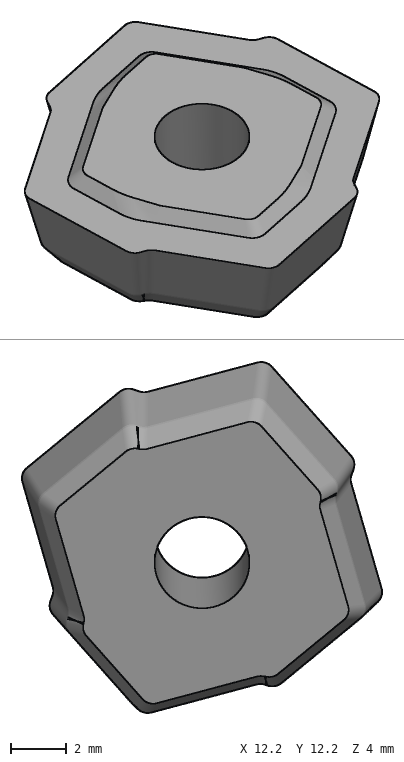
import cadquery as cq
import math

FLANK_BLEND_LOW = 0.86
FLANK_BLEND_HIGH = 0.94
RIM_HEIGHT = 3.59
TOTAL_HEIGHT = 4.0

OVERALL_WIDTH = 12.24

SHORT_EDGE_TILT = -10
SHORT_EDGE_DISTANCE = 5.68
STEP_TILT = -45
STEP_DISTANCE = 4.31
LONG_EDGE_TILT = 15
VALLEY_RADIUS = 0.55
PEAK_RADIUS = 0.5
CORNER_RADIUS = 0.5

UPPER_RELIEF_ANGLE = 11
LOWER_RELIEF_ANGLE = 31

BOSS_INSET = 1.38
BOSS_TOP_INSET = 1.87
BOSS_CORNER_RADIUS = 0.59
BOSS_TOP_CORNER_RADIUS = 0.47
BOSS_BEND_RADIUS = 1.96
BOSS_TOP_BEND_RADIUS = 3.3
BOSS_TOP_BEND_TILT = 0

HOLE_DIAMETER = 3.4
QUARTERS = 4


def meeting_point(edge_a, edge_b):
    """Point where two edges, each a (tilt, distance) pair, cross."""
    tilt_a, distance_a = math.radians(edge_a[0]), edge_a[1]
    tilt_b, distance_b = math.radians(edge_b[0]), edge_b[1]
    spread = math.sin(tilt_b - tilt_a)
    x = (distance_b * math.cos(tilt_a) - distance_a * math.cos(tilt_b)) / spread
    y = (distance_a * math.sin(tilt_b) - distance_b * math.sin(tilt_a)) / spread
    return x, y


def long_edge_distance():
    """Distance of the long edge from the axis that puts the rounded peak at half the width."""
    peak_centre_line = (0, OVERALL_WIDTH / 2 - PEAK_RADIUS)
    x, y = meeting_point((STEP_TILT, STEP_DISTANCE - PEAK_RADIUS), peak_centre_line)
    tilt = math.radians(LONG_EDGE_TILT)
    return x * math.sin(tilt) + y * math.cos(tilt) + PEAK_RADIUS


LONG_EDGE_DISTANCE = long_edge_distance()


def quarter_turn(edge):
    """The same edge on the next quarter, clockwise from above."""
    return edge[0] + 360 / QUARTERS, edge[1]


def rounded_outline(quarter_corners, height):
    """Closed wire through the corners of one quarter, repeated clockwise around Z.

    Each corner is (x, y, radius); radius None keeps the corner as a plain point.
    """
    corners = list(quarter_corners)
    for _ in range(QUARTERS - 1):
        corners += [(y, -x, radius) for x, y, radius in corners[-len(quarter_corners):]]
    points = [cq.Vector(x, y, height) for x, y, _ in corners]

    edges = []
    stretch_ends = []
    for i, corner in enumerate(points):
        radius = corners[i][2]
        if radius is None:
            stretch_ends += [corner, corner]
            continue
        back = (points[i - 1] - corner).normalized()
        ahead = (points[(i + 1) % len(points)] - corner).normalized()
        half_angle = back.getAngle(ahead) / 2
        reach = radius / math.tan(half_angle)
        gap = radius / math.sin(half_angle) - radius
        start = corner + back * reach
        middle = corner + (back + ahead).normalized() * gap
        end = corner + ahead * reach
        edges.append(cq.Edge.makeThreePointArc(start, middle, end))
        stretch_ends += [start, end]
    starts = stretch_ends[1::2]
    ends = stretch_ends[2::2] + stretch_ends[:1]
    edges += [cq.Edge.makeLine(start, end) for start, end in zip(starts, ends)]
    return cq.Wire.combine(edges)[0]


def cutting_outline(inset, height):
    """Cutting outline with every edge moved inwards by the inset."""
    short_edge = (SHORT_EDGE_TILT, SHORT_EDGE_DISTANCE - inset)
    step = (STEP_TILT, STEP_DISTANCE - inset)
    long_edge = (LONG_EDGE_TILT, LONG_EDGE_DISTANCE - inset)
    return rounded_outline([
        (*meeting_point(short_edge, step), VALLEY_RADIUS),
        (*meeting_point(step, long_edge), PEAK_RADIUS),
        (*meeting_point(long_edge, quarter_turn(short_edge)), CORNER_RADIUS),
    ], height)


def boss_outline(inset, bend_tilt, bend_radius, corner_radius, height):
    """Boss outline; the short edge turns to the bend tilt where it crosses the Y axis."""
    short_edge = (SHORT_EDGE_TILT, SHORT_EDGE_DISTANCE - inset)
    long_edge = (LONG_EDGE_TILT, LONG_EDGE_DISTANCE - inset)
    crossing = short_edge[1] / math.cos(math.radians(SHORT_EDGE_TILT))
    bend_edge = (bend_tilt, crossing * math.cos(math.radians(bend_tilt)))
    return rounded_outline([
        (0, crossing, None),
        (*meeting_point(bend_edge, long_edge), bend_radius),
        (*meeting_point(long_edge, quarter_turn(short_edge)), corner_radius),
    ], height)


def ruled_solid(lower, upper):
    return cq.Workplane(cq.Solid.makeLoft([lower, upper], True))


blend_angle = (UPPER_RELIEF_ANGLE + LOWER_RELIEF_ANGLE) / 2
flank_stages = [
    (FLANK_BLEND_HIGH, UPPER_RELIEF_ANGLE),
    (FLANK_BLEND_LOW, blend_angle),
    (0, LOWER_RELIEF_ANGLE),
]
inset = 0
upper_height = RIM_HEIGHT
layers = []
for lower_height, relief_angle in flank_stages:
    lower_inset = inset + (upper_height - lower_height) * math.tan(math.radians(relief_angle))
    lower_outline = cutting_outline(lower_inset, lower_height)
    layers.append(ruled_solid(lower_outline, cutting_outline(inset, upper_height)))
    inset = lower_inset
    upper_height = lower_height
upper_flank, blend_band, lower_flank = layers

foot = boss_outline(BOSS_INSET, SHORT_EDGE_TILT, BOSS_BEND_RADIUS,
                    BOSS_CORNER_RADIUS, RIM_HEIGHT)
top = boss_outline(BOSS_TOP_INSET, BOSS_TOP_BEND_TILT, BOSS_TOP_BEND_RADIUS,
                   BOSS_TOP_CORNER_RADIUS, TOTAL_HEIGHT)
boss = ruled_solid(foot, top)

hole = cq.Workplane("XY").circle(HOLE_DIAMETER / 2).extrude(TOTAL_HEIGHT)

result = upper_flank.union(blend_band).union(lower_flank).union(boss).cut(hole)